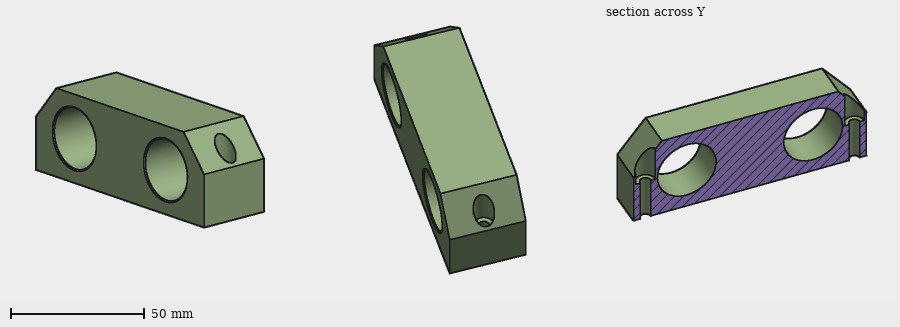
import cadquery as cq

length = 96.0
width = 30.0
height = 35.0

slope_run = 11.7
slope_drop = 14.0

bore_spacing = 52.0
bore_diameter = 24.0
bore_chamfer = 0.5

screw_spacing = 86.0
screw_diameter = 4.3
head_diameter = 8.0
head_floor_height = 17.5

half_length = length / 2
shoulder_height = height - slope_drop


def make_block():
    """Block centred on X and Y, standing on Z = 0, with sloped upper ends."""
    outline = [
        (-half_length, 0),
        (half_length, 0),
        (half_length, shoulder_height),
        (half_length - slope_run, height),
        (slope_run - half_length, height),
        (-half_length, shoulder_height),
    ]
    return cq.Workplane("XZ").polyline(outline).close().extrude(width / 2, both=True)


def bore_cutter(x):
    """Bore along Y at mid-height, widened by a chamfer at both mouths."""
    bore_radius = bore_diameter / 2
    mouth_radius = bore_radius + bore_chamfer
    half_width = width / 2
    chamfer_start = half_width - bore_chamfer
    profile = [
        (0, -half_width),
        (mouth_radius, -half_width),
        (bore_radius, -chamfer_start),
        (bore_radius, chamfer_start),
        (mouth_radius, half_width),
        (0, half_width),
    ]
    cutter = cq.Workplane("XY").polyline(profile).close().revolve(360, (0, 0), (0, 1))
    return cutter.translate((x, 0, height / 2))


def screw_cutter(x):
    """Vertical through hole with a flat-floored counterbore open to the slope."""
    shank = cq.Workplane("XY").circle(screw_diameter / 2).extrude(height)
    head = (
        cq.Workplane("XY")
        .workplane(offset=head_floor_height)
        .circle(head_diameter / 2)
        .extrude(height - head_floor_height)
    )
    return shank.union(head).translate((x, 0, 0))


result = make_block()
for side in (-1, 1):
    result = result.cut(bore_cutter(side * bore_spacing / 2))
    result = result.cut(screw_cutter(side * screw_spacing / 2))